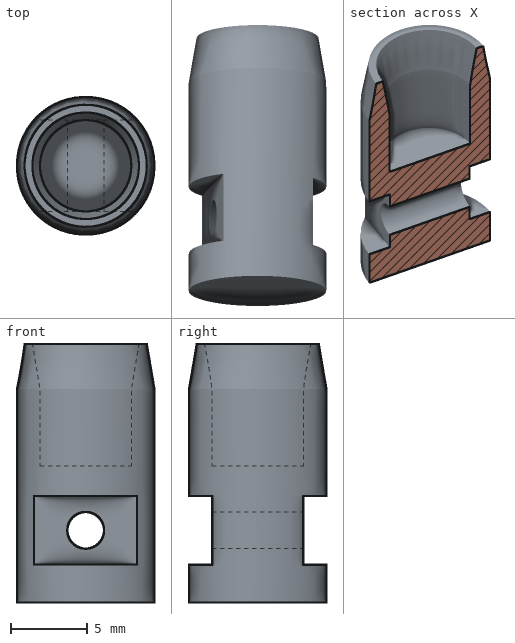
import cadquery as cq

height = 17.0
body_diameter = 9.05
body_radius = body_diameter / 2

rim_diameter = 8.02
taper_height = 3.0
socket_mouth_diameter = 7.0
socket_bore_diameter = 6.0
socket_depth = 8.0

flat_spacing = 6.0
flat_bottom = 2.5
flat_top = 7.0
flat_height = flat_top - flat_bottom
cross_hole_diameter = 2.4
cross_hole_z = (flat_bottom + flat_top) / 2


def make_body():
    """Solid of revolution: cylinder, tapered rim and blind socket with a tapered mouth."""
    profile = [
        (0, 0),
        (body_radius, 0),
        (body_radius, height - taper_height),
        (rim_diameter / 2, height),
        (socket_mouth_diameter / 2, height),
        (socket_bore_diameter / 2, height - taper_height),
        (socket_bore_diameter / 2, height - socket_depth),
        (0, height - socket_depth),
    ]
    return cq.Workplane("XZ").polyline(profile).close().revolve(360, (0, 0, 0), (0, 1, 0))


def make_flat_cutter(side):
    """Block that leaves a flat on the -Y (side = -1) or +Y (side = 1) face."""
    center_y = side * (flat_spacing + body_diameter) / 2
    return (
        cq.Workplane("XY")
        .box(body_diameter, body_diameter, flat_height)
        .translate((0, center_y, cross_hole_z))
    )


def make_cross_hole():
    """Pin hole running through the body along Y."""
    return (
        cq.Workplane("XZ", origin=(0, 0, cross_hole_z))
        .circle(cross_hole_diameter / 2)
        .extrude(body_radius, both=True)
    )


result = make_body()
for side in (-1, 1):
    result = result.cut(make_flat_cutter(side))
result = result.cut(make_cross_hole())